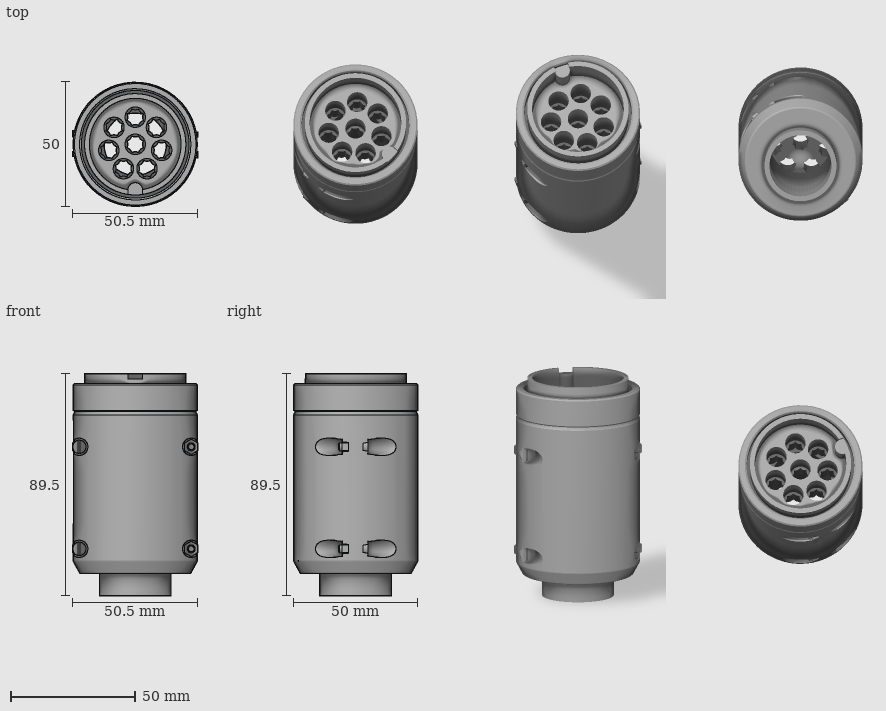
import cadquery as cq
import math

total_height = 89.5
collar_height = 8.95
taper_height = 5.1
groove_height = 74.2
ring_top = 85.6
insert_face = 78.4
insert_thickness = 24.7
socket_depth = 13.4
annulus_depth = 5.4

shell_diameter = 50.0
taper_diameter = 44.6
neck_diameter = 29.0
cable_bore_diameter = 25.0
nose_diameter = 40.8
nose_bore_diameter = 37.0
ring_bore_diameter = 43.4

edge_break = 0.5
shell_bevel_radial = 0.6
shell_bevel_height = 1.25
ring_mouth_bevel_radial = 0.7
ring_mouth_bevel_height = 0.5
taper_round = 1.0

contact_diameter = 8.2
contact_circle_radius = 10.9
outer_contact_count = 7
lobe_count = 8
lobe_crest_radius = 2.95
lobe_tip_radius = 3.6

key_width = 6.0
key_drop = 2.1
key_center_radius = 18.4

screw_heights = (19.0, 60.05)
screw_offset = 22.55
pocket_diameter = 7.0
pocket_step = 0.1
seat_distance = 2.9
nut_face = 5.5
nut_across_flats = 5.4
head_face = 5.0
head_diameter = 5.4
slot_width = 0.8
slot_depth = 1.1
screw_diameter = 3.2
screw_end = 6.9
screw_end_bevel = 0.45


def disc(diameter, bottom, top):
    """Cylinder on the part axis between two heights."""
    return cq.Workplane("XY").workplane(offset=bottom).circle(diameter / 2).extrude(top - bottom)


def revolved_shell():
    """Neck, tapered shoulder, shell and coupling ring as one turned profile."""
    shell_radius = shell_diameter / 2
    taper_radius = taper_diameter / 2
    groove_radius = shell_radius - shell_bevel_radial
    turned = (
        cq.Workplane("XZ")
        .moveTo(0, 0)
        .lineTo(neck_diameter / 2, 0)
        .lineTo(neck_diameter / 2, collar_height)
        .lineTo(taper_radius, collar_height)
        .lineTo(shell_radius, collar_height + taper_height)
        .lineTo(shell_radius, groove_height - shell_bevel_height)
        .lineTo(groove_radius, groove_height)
        .lineTo(shell_radius, groove_height + edge_break)
        .lineTo(shell_radius, ring_top - edge_break)
        .lineTo(shell_radius - edge_break, ring_top)
        .lineTo(0, ring_top)
        .close()
        .revolve(360, (0, 0, 0), (0, 1, 0))
    )
    taper_side = (0, 0, collar_height + taper_height / 2)
    taper_rims = turned.faces(cq.selectors.NearestToPointSelector(taper_side)).edges("%CIRCLE")
    return taper_rims.fillet(taper_round)


def ring_gap():
    """Annular gap around the nose tube, bevelled at its mouth."""
    inner_radius = nose_diameter / 2
    bore_radius = ring_bore_diameter / 2
    gap_floor = ring_top - annulus_depth
    return (
        cq.Workplane("XZ")
        .moveTo(inner_radius, gap_floor)
        .lineTo(bore_radius, gap_floor)
        .lineTo(bore_radius, ring_top - ring_mouth_bevel_height)
        .lineTo(bore_radius + ring_mouth_bevel_radial, ring_top)
        .lineTo(inner_radius, ring_top)
        .close()
        .revolve(360, (0, 0, 0), (0, 1, 0))
    )


def key_prism(bottom, top):
    """Round-nosed block that reaches outward through the -Y side of the nose tube."""
    base = cq.Workplane("XY").workplane(offset=bottom).center(0, -key_center_radius)
    round_end = base.circle(key_width / 2).extrude(top - bottom)
    straight = base.center(0, -key_width / 2).rect(key_width, key_width).extrude(top - bottom)
    return round_end.union(straight)


def lobed_outline():
    """Closed outline with inward-bulging lobes and sharp corners between them."""
    pitch = 2 * math.pi / lobe_count

    def polar(radius, angle):
        return (radius * math.cos(angle), radius * math.sin(angle))

    outline = cq.Workplane("XY").moveTo(*polar(lobe_tip_radius, -pitch / 2))
    for i in range(lobe_count):
        crest = polar(lobe_crest_radius, i * pitch)
        tip = polar(lobe_tip_radius, (i + 0.5) * pitch)
        outline = outline.threePointArc(crest, tip)
    return outline.close()


def contact_hole():
    """Plain socket that continues as a lobed opening through the insert."""
    insert_bottom = insert_face - insert_thickness
    lobed = lobed_outline().extrude(insert_thickness).translate((0, 0, insert_bottom))
    return lobed.union(disc(contact_diameter, insert_face - socket_depth, insert_face))


def along_y(start, end):
    """Workplane on the screw axis at Y = start, facing along the direction to Y = end."""
    direction = math.copysign(1, end - start)
    return cq.Workplane(cq.Plane((-screw_offset, start, 0), (1, 0, 0), (0, direction, 0)))


def screw_pockets():
    """Access bores for one screw on the -X side, at height zero."""
    reach = shell_diameter / 2
    nut_floor = nut_face - pocket_step
    head_floor = head_face - pocket_step
    nut_side = along_y(nut_floor, reach).circle(pocket_diameter / 2).extrude(reach - nut_floor)
    head_side = along_y(-head_floor, -reach).circle(pocket_diameter / 2).extrude(reach - head_floor)
    return nut_side.union(head_side)


def screw():
    """Slotted screw and hexagon nut on the -X side, at height zero."""
    nut_corners = nut_across_flats / math.cos(math.pi / 6)
    nut = (
        along_y(seat_distance, nut_face)
        .transformed(rotate=(0, 0, 30))
        .polygon(6, nut_corners)
        .extrude(nut_face - seat_distance)
    )
    shank = (
        along_y(seat_distance, screw_end)
        .circle(screw_diameter / 2)
        .extrude(screw_end - seat_distance)
        .faces(">Y")
        .chamfer(screw_end_bevel)
    )
    head = (
        along_y(-seat_distance, -head_face)
        .circle(head_diameter / 2)
        .extrude(head_face - seat_distance)
    )
    return nut.union(shank).union(head)


def screw_slot():
    """Driver slot in the screw head."""
    return (
        along_y(slot_depth - head_face, -head_face)
        .rect(slot_width, head_diameter)
        .extrude(slot_depth)
    )


body = revolved_shell().cut(ring_gap())
body = body.union(disc(nose_diameter, ring_top - annulus_depth, total_height))
body = body.cut(disc(nose_bore_diameter, insert_face, total_height))
body = body.cut(disc(cable_bore_diameter, 0, insert_face - insert_thickness))

key_top = total_height - key_drop
key_post = key_prism(insert_face, key_top).intersect(disc(nose_diameter, insert_face, key_top))
body = body.union(key_post).cut(key_prism(key_top, total_height))

hole = contact_hole()
body = body.cut(hole)
for i in range(outer_contact_count):
    angle = math.pi / 2 + 2 * math.pi * i / outer_contact_count
    position = (contact_circle_radius * math.cos(angle), contact_circle_radius * math.sin(angle), 0)
    body = body.cut(hole.translate(position))

pockets = screw_pockets()
screw_and_nut = screw()
slot = screw_slot()


def place(shape, height, turn):
    """Lift a shape to a screw height and turn it around Z."""
    return shape.translate((0, 0, height)).rotate((0, 0, 0), (0, 0, 1), turn)


for turn in (0, 180):
    for height in screw_heights:
        body = body.cut(place(pockets, height, turn))
        body = body.union(place(screw_and_nut, height, turn))
        body = body.cut(place(slot, height, turn))

result = body